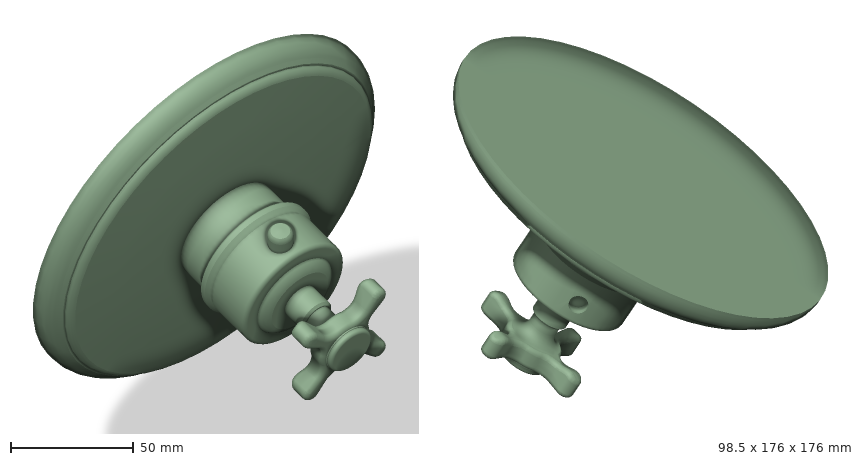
import cadquery as cq
import math


plate_radius = 88.0
rim_flat_end = 1.5
rim_bulge_x, rim_bulge_radius = 7.0, 86.4
rim_end_x, rim_end_radius = 10.0, 83.4
step_x, step_outer_radius, step_inner_radius = 11.5, 81.6, 80.5
shoulder_x = 12.0
shoulder_mid_x, shoulder_mid_radius = 13.7, 79.5
dome_start_x, dome_start_radius = 14.8, 77.8
dome_mid_x, dome_mid_radius = 16.4, 54.5
plate_front_x = 17.5

sleeve_radius = 24.1

housing_back_x = 34.3
collar_radius = 28.0
collar_back_round = 1.4
collar_front_x = 37.7
collar_taper_end_x = 40.3
housing_radius = 26.4
housing_front_x = 61.4
housing_front_round = 1.8
cap_base_radius = 19.5
cap_mid_x, cap_mid_radius = 63.7, 17.5
cap_front_x, cap_front_radius = 65.0, 14.8
stem_radius = 8.0
stem_end_x = 76.5
stem_chamfer = 1.0

pin_x = 52.3
pin_radius = 5.3
pin_seat_z = 21.1
pin_side_top_z = 32.0
pin_crown_mid_radius, pin_crown_mid_z = 5.0, 33.5
pin_crown_radius, pin_crown_z = 4.0, 34.5
pin_top_z = 35.0
screw_hole_radius = 4.0
screw_hole_depth = 5.3

spindle_radius = 6.2
spindle_end_x = 80.8

arm_count = 4
first_arm_angle = 45.0
hub_radius = 12.8
arm_tip_radius = 3.9
arm_tip_center = 25.2
arm_flare_angle = 6.0
arm_side_length = 6.7
arm_edge_round = 2.1
flare_radius = 5.5
hub_back_x = spindle_end_x + flare_radius
handle_front_x = 95.5
tip_front_radius = 22.9
back_curve_start_radius = 12.3
back_curve_mid_x, back_curve_mid_radius = 85.7, 19.0
tip_back_x, tip_back_radius = 84.5, 24.6
tip_end_back_x = 86.7
tip_end_front_x = 94.3
tip_clearance = 0.2
boss_radius = 11.0
boss_front_x = 96.0

button_radius = 10.7
button_front_x = 98.5
button_round = 1.2


def revolve_about_x(profile):
    """Turn a closed (x, radius) profile into a solid around the X axis."""
    return profile.close().revolve(360, (0, 0, 0), (1, 0, 0))


def cylinder_along_x(radius, start_x, end_x):
    return cq.Workplane("YZ", origin=(start_x, 0, 0)).circle(radius).extrude(end_x - start_x)


def make_plate():
    profile = (
        cq.Workplane("XY")
        .lineTo(0, plate_radius)
        .lineTo(rim_flat_end, plate_radius)
        .threePointArc((rim_bulge_x, rim_bulge_radius), (rim_end_x, rim_end_radius))
        .lineTo(step_x, step_outer_radius)
        .lineTo(step_x, step_inner_radius)
        .lineTo(shoulder_x, step_inner_radius)
        .threePointArc((shoulder_mid_x, shoulder_mid_radius), (dome_start_x, dome_start_radius))
        .threePointArc((dome_mid_x, dome_mid_radius), (plate_front_x, sleeve_radius))
        .lineTo(plate_front_x, 0)
    )
    return revolve_about_x(profile)


def make_sleeve():
    return cylinder_along_x(sleeve_radius, plate_front_x, housing_back_x)


def make_housing():
    round_inset = 1 - math.sqrt(0.5)
    back_inset = collar_back_round * round_inset
    front_inset = housing_front_round * round_inset
    profile = (
        cq.Workplane("XY")
        .moveTo(housing_back_x, 0)
        .lineTo(housing_back_x, collar_radius - collar_back_round)
        .threePointArc(
            (housing_back_x + back_inset, collar_radius - back_inset),
            (housing_back_x + collar_back_round, collar_radius),
        )
        .lineTo(collar_front_x, collar_radius)
        .lineTo(collar_taper_end_x, housing_radius)
        .lineTo(housing_front_x - housing_front_round, housing_radius)
        .threePointArc(
            (housing_front_x - front_inset, housing_radius - front_inset),
            (housing_front_x, housing_radius - housing_front_round),
        )
        .lineTo(housing_front_x, cap_base_radius)
        .threePointArc((cap_mid_x, cap_mid_radius), (cap_front_x, cap_front_radius))
        .lineTo(cap_front_x, stem_radius)
        .lineTo(stem_end_x - stem_chamfer, stem_radius)
        .lineTo(stem_end_x, stem_radius - stem_chamfer)
        .lineTo(stem_end_x, 0)
    )
    pin_seat = (
        cq.Workplane("XY", origin=(pin_x, 0, pin_seat_z)).circle(pin_radius).extrude(housing_radius)
    )
    screw_hole = (
        cq.Workplane("XY", origin=(pin_x, 0, -housing_radius))
        .circle(screw_hole_radius)
        .extrude(screw_hole_depth)
    )
    return revolve_about_x(profile).cut(pin_seat).cut(screw_hole)


def make_pin():
    return (
        cq.Workplane("XZ", origin=(pin_x, 0, 0))
        .moveTo(0, pin_seat_z)
        .lineTo(pin_radius, pin_seat_z)
        .lineTo(pin_radius, pin_side_top_z)
        .threePointArc(
            (pin_crown_mid_radius, pin_crown_mid_z), (pin_crown_radius, pin_crown_z)
        )
        .lineTo(0, pin_top_z)
        .close()
        .revolve(360, (0, 0, 0), (0, 1, 0))
    )


def make_spindle():
    return cylinder_along_x(spindle_radius, stem_end_x, spindle_end_x)


def arm_side_points():
    """Give the (along, across) points on one side of an arm, from its tip to the hub.

    The side runs tangent to the round tip, narrows towards the hub and ends in a root arc
    that is tangent to both the side and the hub circle.
    """
    flare = math.radians(arm_flare_angle)
    side_x, side_y = math.cos(flare), math.sin(flare)
    normal_x, normal_y = -side_y, side_x

    tip_end = (arm_tip_center + arm_tip_radius * normal_x, arm_tip_radius * normal_y)
    neck = (tip_end[0] - arm_side_length * side_x, tip_end[1] - arm_side_length * side_y)

    neck_along_normal = neck[0] * normal_x + neck[1] * normal_y
    root_radius = (math.hypot(*neck) ** 2 - hub_radius**2) / (2 * (hub_radius - neck_along_normal))
    root_center = (neck[0] + root_radius * normal_x, neck[1] + root_radius * normal_y)
    hub_angle = math.atan2(root_center[1], root_center[0])
    hub_end = (hub_radius * math.cos(hub_angle), hub_radius * math.sin(hub_angle))

    chord_x = (neck[0] + hub_end[0]) / 2 - root_center[0]
    chord_y = (neck[1] + hub_end[1]) / 2 - root_center[1]
    stretch = root_radius / math.hypot(chord_x, chord_y)
    root_mid = (root_center[0] + stretch * chord_x, root_center[1] + stretch * chord_y)
    return tip_end, neck, root_mid, hub_end


def cross_outline():
    """Outline the hub with its arms in the YZ plane, counter-clockwise."""
    tip_end, neck, root_mid, hub_end = arm_side_points()
    arm_pitch = 360 / arm_count

    def place(point, arm_angle):
        angle = math.radians(arm_angle)
        along, across = point
        return (
            along * math.cos(angle) - across * math.sin(angle),
            along * math.sin(angle) + across * math.cos(angle),
        )

    def mirror(point):
        return (point[0], -point[1])

    outline = cq.Workplane("YZ").moveTo(*place(mirror(hub_end), first_arm_angle))
    for arm in range(arm_count):
        angle = first_arm_angle + arm * arm_pitch
        tip = (arm_tip_center + arm_tip_radius, 0)
        outline = (
            outline.threePointArc(place(mirror(root_mid), angle), place(mirror(neck), angle))
            .lineTo(*place(mirror(tip_end), angle))
            .threePointArc(place(tip, angle), place(tip_end, angle))
            .lineTo(*place(neck, angle))
            .threePointArc(place(root_mid, angle), place(hub_end, angle))
            .threePointArc(
                place((hub_radius, 0), angle + arm_pitch / 2),
                place(mirror(hub_end), angle + arm_pitch),
            )
        )
    return outline.close()


def make_handle():
    tip_end_radius = arm_tip_center + arm_tip_radius + tip_clearance
    blank = revolve_about_x(
        cq.Workplane("XY")
        .moveTo(hub_back_x, 0)
        .lineTo(hub_back_x, back_curve_start_radius)
        .spline(
            [
                (back_curve_mid_x, back_curve_mid_radius),
                (tip_back_x, tip_back_radius),
                (tip_end_back_x, tip_end_radius),
            ],
            tangents=[(0, 1), (1, 1)],
            includeCurrent=True,
        )
        .lineTo(tip_end_front_x, tip_end_radius)
        .spline(
            [(handle_front_x, tip_front_radius)],
            tangents=[(1, -1), (0, -1)],
            includeCurrent=True,
        )
        .lineTo(handle_front_x, 0)
    )
    cross = cross_outline().extrude(handle_front_x).intersect(blank)
    cross = cross.edges("not |X").fillet(arm_edge_round)
    flare_mid = flare_radius * math.sqrt(0.5)
    flare = revolve_about_x(
        cq.Workplane("XY")
        .moveTo(spindle_end_x, 0)
        .lineTo(spindle_end_x, spindle_radius)
        .threePointArc(
            (spindle_end_x + flare_mid, spindle_radius + flare_radius - flare_mid),
            (hub_back_x, spindle_radius + flare_radius),
        )
        .lineTo(hub_back_x, 0)
    )
    boss = cylinder_along_x(boss_radius, hub_back_x, boss_front_x)
    return cross.union(flare).union(boss)


def make_button():
    button = cylinder_along_x(button_radius, boss_front_x, button_front_x)
    return button.faces(">X").edges().fillet(button_round)


plate = make_plate()
sleeve = make_sleeve()
housing = make_housing()
pin = make_pin()
spindle = make_spindle()
handle = make_handle()
button = make_button()

result = cq.Compound.makeCompound(
    [body.val() for body in (plate, sleeve, housing, pin, spindle, handle, button)]
)